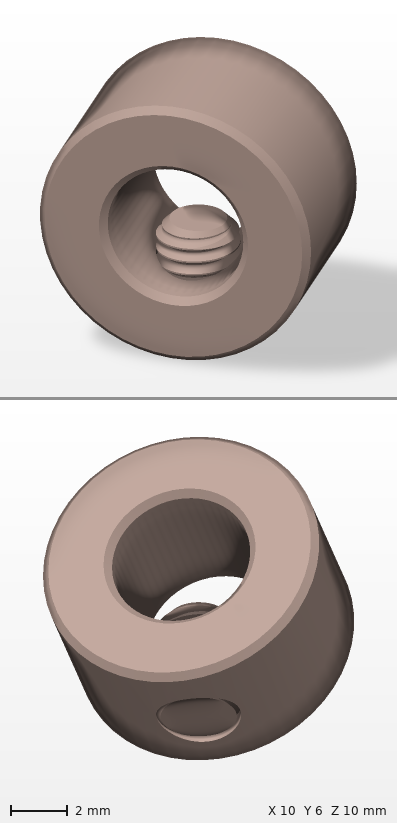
import cadquery as cq
import math

COLLAR_DIAMETER = 10
COLLAR_WIDTH = 6
BORE_DIAMETER = 5
COLLAR_CHAMFER = 0.25

SCREW_DIAMETER = 3
SCREW_LENGTH = 4
SCREW_TIP_Z = -0.76
TIP_CHAMFER = 0.48
ROOT_DIAMETER = 2.35
THREAD_PITCH = 0.5
CREST_FLAT = THREAD_PITCH / 8
FLANK_HALF_ANGLE = math.radians(30)
RIDGE_ROOT_OVERLAP = 0.03
RIDGE_START_Z = -5.65
RIDGE_TURNS = 11
CREST_CLEARANCE = 0.2


def make_collar():
    """Chamfered ring with a radial hole for the screw in its bottom wall."""
    collar = (
        cq.Workplane("XZ")
        .workplane(offset=-COLLAR_WIDTH / 2)
        .circle(COLLAR_DIAMETER / 2)
        .circle(BORE_DIAMETER / 2)
        .extrude(COLLAR_WIDTH)
        .faces("<Y or >Y")
        .chamfer(COLLAR_CHAMFER)
    )
    screw_hole = cq.Workplane("XY").circle(SCREW_DIAMETER / 2).extrude(-COLLAR_DIAMETER)
    return collar.cut(screw_hole)


def make_thread_ridge():
    """Right-handed helical ridge with a trapezoidal section, narrow at the crest."""
    crest_radius = SCREW_DIAMETER / 2
    base_radius = ROOT_DIAMETER / 2 - RIDGE_ROOT_OVERLAP
    crest_half_width = CREST_FLAT / 2
    base_half_width = crest_half_width + (crest_radius - base_radius) * math.tan(FLANK_HALF_ANGLE)

    helix = cq.Wire.makeHelix(
        THREAD_PITCH, RIDGE_TURNS * THREAD_PITCH, base_radius, cq.Vector(0, 0, RIDGE_START_Z)
    )
    section = cq.Workplane("XZ").polyline([
        (base_radius, RIDGE_START_Z - base_half_width),
        (crest_radius, RIDGE_START_Z - crest_half_width),
        (crest_radius, RIDGE_START_Z + crest_half_width),
        (base_radius, RIDGE_START_Z + base_half_width),
    ]).close()
    return section.sweep(cq.Workplane(obj=helix), isFrenet=True)


def make_set_screw():
    """Threaded rod with a chamfered flat tip inside the bore."""
    core = (
        cq.Workplane("XY")
        .workplane(offset=RIDGE_START_Z - THREAD_PITCH)
        .circle(ROOT_DIAMETER / 2)
        .extrude((RIDGE_TURNS + 2) * THREAD_PITCH)
    )
    envelope = (
        cq.Workplane("XY")
        .workplane(offset=SCREW_TIP_Z)
        .circle(SCREW_DIAMETER / 2 + CREST_CLEARANCE)
        .extrude(-SCREW_LENGTH)
        .faces(">Z")
        .chamfer(TIP_CHAMFER + CREST_CLEARANCE)
    )
    return core.union(make_thread_ridge()).intersect(envelope)


collar = make_collar()
set_screw = make_set_screw()

result = cq.Compound.makeCompound([collar.val(), set_screw.val()])